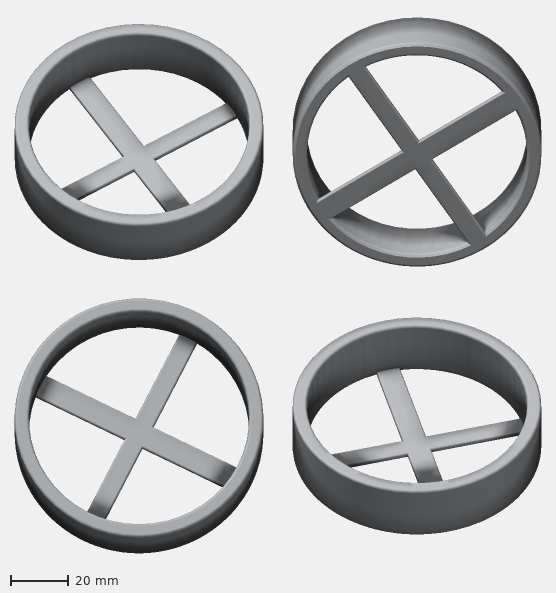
import cadquery as cq

outer_diameter = 87.0
inner_diameter = 77.0
ring_height = 22.0
ring_fillet = 1.0
ring_base_chamfer = 1.0

bar_along_x_width = 8.5
bar_along_y_width = 7.0
bar_thickness = 2.0
bar_fillet = 0.7
bar_base_chamfer = 0.5

selection_margin = 0.02


def soften_edges(body, base_chamfer, fillet_radius):
    """Round the top edges, chamfer the bottom edges and blend the chamfers into the side walls."""
    body = body.faces(">Z").edges().fillet(fillet_radius)
    body = body.faces("<Z").edges().chamfer(base_chamfer)
    chamfer_tops = cq.selectors.BoxSelector(
        (-outer_diameter, -outer_diameter, base_chamfer - selection_margin),
        (outer_diameter, outer_diameter, base_chamfer + selection_margin),
        boundingbox=True,
    )
    return body.edges(chamfer_tops).fillet(fillet_radius)


def make_ring():
    """Plain round ring standing on the XY plane, with softened rims."""
    ring = (
        cq.Workplane("XY")
        .circle(outer_diameter / 2)
        .circle(inner_diameter / 2)
        .extrude(ring_height)
    )
    return soften_edges(ring, ring_base_chamfer, ring_fillet)


def make_bar(size_x, size_y):
    """Flat bar centred on the ring axis, with its underside on the XY plane."""
    return cq.Workplane("XY").box(size_x, size_y, bar_thickness, centered=(True, True, False))


def make_cross():
    """Two crossing bars with softened edges that end midway through the ring wall."""
    bar_length = (outer_diameter + inner_diameter) / 2
    bar_along_x = make_bar(bar_length, bar_along_x_width)
    bar_along_y = make_bar(bar_along_y_width, bar_length)
    return soften_edges(bar_along_x.union(bar_along_y), bar_base_chamfer, bar_fillet)


result = make_ring().union(make_cross())